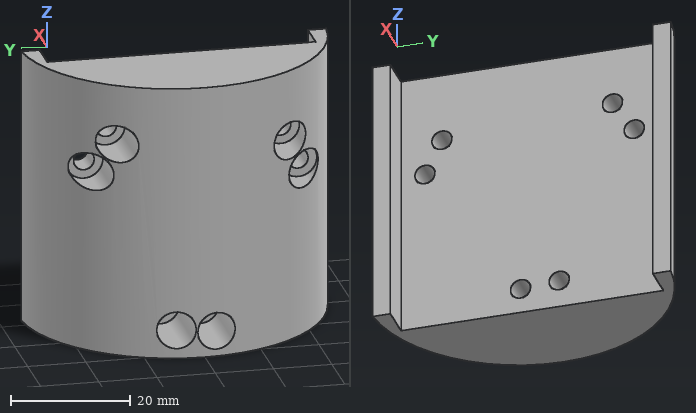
import cadquery as cq
import math

depth = 24.25
width = 52.35
height = 48.0

recess_depth = 6.0
recess_width = 46.0
recess_floor = depth - recess_depth

hole_diameter = 3.5
bore_diameter = 6.5
bore_floor_thickness = 5.2
hole_circle_radius = 19.6
pair_count = 3
first_pair_angle = 34.0
pair_half_angle = 10.0


def make_body():
    """Cylinder segment with its curved front touching X = 0."""
    return (
        cq.Workplane("XY")
        .moveTo(depth, -width / 2)
        .threePointArc((0, 0), (depth, width / 2))
        .close()
        .extrude(height)
    )


def make_recess():
    """Rectangular channel open at the back, top and bottom."""
    return (
        cq.Workplane("XY")
        .moveTo(recess_floor + recess_depth / 2, 0)
        .rect(recess_depth, recess_width)
        .extrude(height)
    )


def hole_centers():
    """(Y, Z) centers of all screw holes."""
    centers = []
    for pair in range(pair_count):
        pair_angle = first_pair_angle + pair * 360 / pair_count
        for side in (-1, 1):
            angle = math.radians(pair_angle + side * pair_half_angle)
            y = hole_circle_radius * math.cos(angle)
            z = height / 2 + hole_circle_radius * math.sin(angle)
            centers.append((y, z))
    return centers


def make_cylinders(diameter, length):
    """Cylinders along +X from X = 0, one at each screw hole center."""
    return cq.Workplane("YZ").pushPoints(hole_centers()).circle(diameter / 2).extrude(length)


result = (
    make_body()
    .cut(make_recess())
    .cut(make_cylinders(hole_diameter, depth))
    .cut(make_cylinders(bore_diameter, recess_floor - bore_floor_thickness))
)